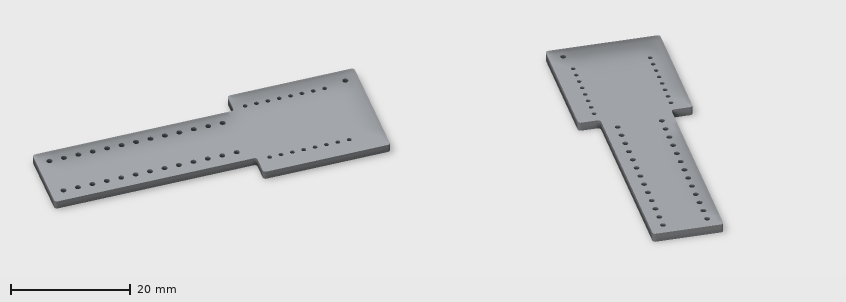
import cadquery as cq

thickness = 1.6
board_length = 57.85
head_width = 19.83
head_length = 22.35
neck_width = 12.23
corner_radius = 0.5

head_hole_diameter = 0.8
head_hole_pitch = 2.0
head_hole_count = 8
head_row_spacing = 13.3
head_row_start = 6.23

neck_hole_diameter = 1.0
neck_hole_pitch = 2.54
neck_hole_count = 13
neck_row_spacing = 7.62
neck_row_end = 2.26

corner_hole_diameter = 1.0
corner_hole_side_inset = 2.5
corner_hole_top_inset = 2.35

top_y = board_length / 2
bottom_y = -board_length / 2
shoulder_y = top_y - head_length


def make_board():
    """T-shaped plate with every vertical edge rounded."""
    half_head = head_width / 2
    half_neck = neck_width / 2
    outline = [
        (-half_head, top_y),
        (half_head, top_y),
        (half_head, shoulder_y),
        (half_neck, shoulder_y),
        (half_neck, bottom_y),
        (-half_neck, bottom_y),
        (-half_neck, shoulder_y),
        (-half_head, shoulder_y),
    ]
    plate = cq.Workplane("XY").polyline(outline).close().extrude(thickness)
    return plate.edges("|Z").fillet(corner_radius)


def row_pair_points(row_spacing, first_y, pitch, count):
    """Hole centres of two rows along Y, mirrored about the centre line and stepping toward -Y."""
    return [
        (side * row_spacing / 2, first_y - index * pitch)
        for side in (-1, 1)
        for index in range(count)
    ]


def drill(body, points, diameter):
    """Cut through holes at the given centres."""
    drills = cq.Workplane("XY").pushPoints(points).circle(diameter / 2).extrude(thickness)
    return body.cut(drills)


head_first_y = top_y - head_row_start
head_points = row_pair_points(head_row_spacing, head_first_y, head_hole_pitch, head_hole_count)

neck_first_y = bottom_y + neck_row_end + (neck_hole_count - 1) * neck_hole_pitch
neck_points = row_pair_points(neck_row_spacing, neck_first_y, neck_hole_pitch, neck_hole_count)

corner_point = (-head_width / 2 + corner_hole_side_inset, top_y - corner_hole_top_inset)

result = make_board()
result = drill(result, head_points, head_hole_diameter)
result = drill(result, neck_points, neck_hole_diameter)
result = drill(result, [corner_point], corner_hole_diameter)